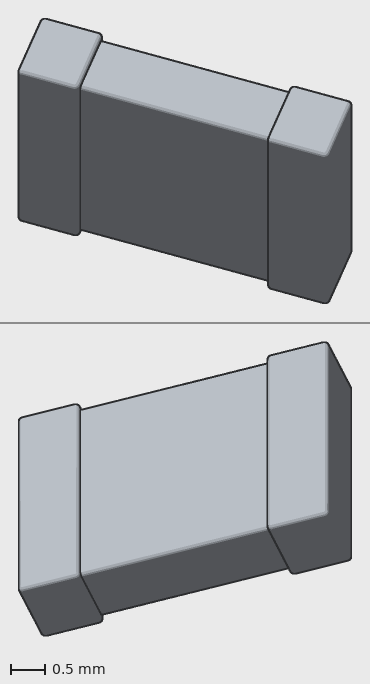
import cadquery as cq

length = 4.8
depth = 1.1
height = 3.5

edge_radius = 0.07
terminal_length = 0.95

body_length = length - 2 * terminal_length
body_depth = depth - 2 * edge_radius
body_height = height - 2 * edge_radius

terminal_offset = (length - terminal_length) / 2


def make_chip_body():
    """Plain block with its four long edges rounded, butting against both terminals."""
    block = cq.Workplane("XY").box(body_length, body_depth, body_height)
    return block.edges("|X").fillet(edge_radius)


def make_terminal(center_x):
    """End block with all edges rounded; its inner flat face meets the chip body."""
    block = cq.Workplane("XY").box(terminal_length, depth, height)
    return block.edges().fillet(edge_radius).translate((center_x, 0, 0))


chip_body = make_chip_body()
terminals = [make_terminal(side * terminal_offset) for side in (-1, 1)]

result = cq.Compound.makeCompound(
    [chip_body.val()] + [terminal.val() for terminal in terminals]
)